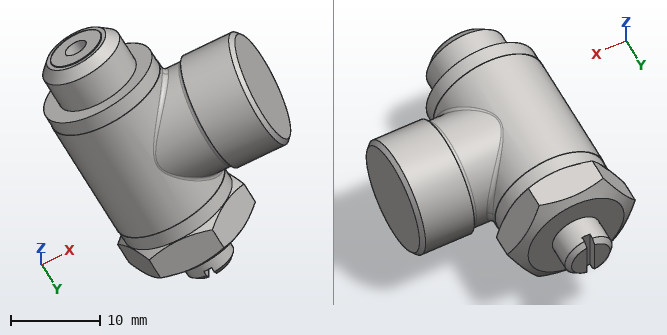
import cadquery as cq
import math

total_length = 31.85
tip_lip = 0.1
spigot_chamfer_end = 1.27
seat = 5.13
body_start = 6.95
body_end = 21.97
hex_start = 23.75
hex_end = 28.25

spigot_radius = 4.95
spigot_tip_radius = 3.8
insert_radius = 3.28
insert_chamfer = 0.05
bore_radius = 1.35
bore_depth = seat

body_radius = 7.0
ring_radius = 6.95

hex_across_flats = 2 * body_radius
hex_corner_radius = hex_across_flats / math.sqrt(3)
hex_top_radius = 6.05
bevel_slope = math.tan(math.radians(30))

screw_radius = 3.0
screw_chamfer = 0.57
slot_width = 1.0
slot_depth = 1.18

branch_y = 14.45
branch_end = 15.98
collar_start = 9.3
collar_radius = body_radius
neck_radius = 6.53
collar_chamfer = 0.5
neck_fillet = collar_radius - neck_radius
junction_fillet = 0.5


def cylinder_y(radius, start, end):
    """Cylinder on the main axis between two Y stations."""
    return cq.Workplane("XZ", origin=(0, start, 0)).circle(radius).extrude(start - end)


def revolve_y(points):
    """Solid of revolution about Y from (radius, y) points."""
    return cq.Workplane("XY").polyline(points).close().revolve(360, (0, 0, 0), (0, 1, 0))


def make_branch():
    """Neck and collar, with a concave round where they meet."""
    bend = neck_fillet * math.sqrt(0.5)
    profile = (
        cq.Workplane("XY", origin=(0, branch_y, 0))
        .lineTo(0, neck_radius)
        .lineTo(collar_start - neck_fillet, neck_radius)
        .threePointArc(
            (collar_start - neck_fillet + bend, collar_radius - bend),
            (collar_start, collar_radius),
        )
        .lineTo(branch_end - collar_chamfer, collar_radius)
        .lineTo(branch_end, collar_radius - collar_chamfer)
        .lineTo(branch_end, 0)
        .close()
    )
    return profile.revolve(360, (0, 0, 0), (1, 0, 0))


def make_tee():
    """Body tube joined to the branch, rounded along the junction."""
    tee = cylinder_y(body_radius, body_start, body_end).union(make_branch())
    junction = cq.selectors.BoxSelector(
        (0.32, body_start + 0.32, -body_radius),
        (body_radius + 0.32, body_end - 0.32, body_radius),
        boundingbox=True,
    )
    return tee.edges(junction).fillet(junction_fillet)


def make_hex():
    """Hexagon with flats facing +Z and -Z, bevelled at its corners."""
    prism = (
        cq.Workplane("XZ", origin=(0, hex_start, 0))
        .polygon(6, 2 * hex_corner_radius)
        .extrude(hex_start - hex_end)
    )
    lower_bevel = (hex_corner_radius - ring_radius) * bevel_slope
    upper_bevel = (hex_corner_radius - hex_top_radius) * bevel_slope
    envelope = revolve_y([
        (0, hex_start),
        (ring_radius, hex_start),
        (hex_corner_radius, hex_start + lower_bevel),
        (hex_corner_radius, hex_end - upper_bevel),
        (hex_top_radius, hex_end),
        (0, hex_end),
    ])
    return prism.intersect(envelope)


def make_spigot():
    """Spigot with a tapered tip, a slightly proud insert and a blind bore."""
    shell = revolve_y([
        (0, tip_lip),
        (spigot_tip_radius, tip_lip),
        (spigot_radius, spigot_chamfer_end),
        (spigot_radius, seat),
        (0, seat),
    ])
    insert = cylinder_y(insert_radius, 0, seat).faces("<Y").chamfer(insert_chamfer)
    return shell.union(insert).cut(cylinder_y(bore_radius, 0, bore_depth))


def make_screw():
    """Chamfered screw end with a screwdriver slot running along Z."""
    screw = cylinder_y(screw_radius, hex_end, total_length).faces(">Y").chamfer(screw_chamfer)
    slot = cq.Workplane("XY").box(slot_width, 2 * slot_depth, 2 * screw_radius)
    return screw.cut(slot.translate((0, total_length, 0)))


result = (
    make_tee()
    .union(cylinder_y(ring_radius, seat, body_start))
    .union(cylinder_y(ring_radius, body_end, hex_start))
    .union(make_hex())
    .union(make_spigot())
    .union(make_screw())
)